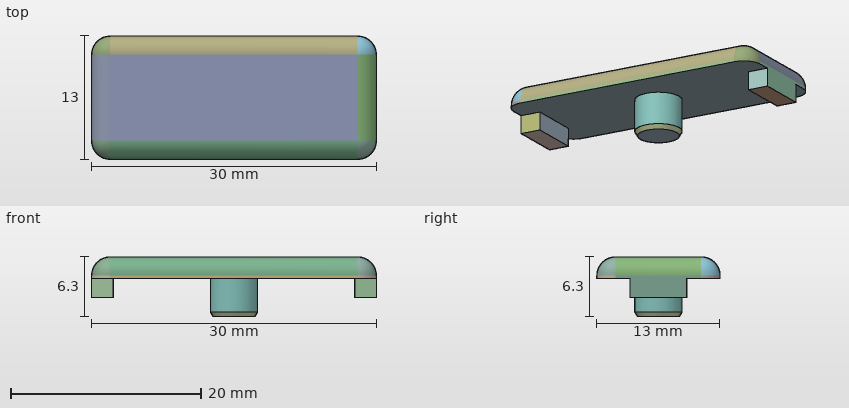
import cadquery as cq

plate_length = 30.0
plate_width = 13.0
plate_thickness = 2.3
edge_radius = 2.0

foot_length = 2.3
foot_width = 6.0
foot_height = 2.0

pin_diameter = 5.0
pin_height = 4.0
pin_chamfer_height = 0.5
pin_chamfer_inset = 0.3


def make_plate():
    """Rectangular plate with rounded corners and a rounded top edge."""
    block = cq.Workplane("XY").box(
        plate_length, plate_width, plate_thickness, centered=(True, True, False)
    )
    rounded_corners = block.edges("|Z").fillet(edge_radius)
    return rounded_corners.faces(">Z").edges().fillet(edge_radius)


def make_foot(side):
    """Block foot at the +X end (side = 1) or the -X end (side = -1)."""
    centre_x = side * (plate_length - foot_length) / 2
    return (
        cq.Workplane("XY")
        .center(centre_x, 0)
        .rect(foot_length, foot_width)
        .extrude(-foot_height)
    )


def make_pin():
    """Pin pointing down, tapered at its free end."""
    radius = pin_diameter / 2
    tip_radius = radius - pin_chamfer_inset
    return (
        cq.Workplane("XZ")
        .moveTo(0, 0)
        .lineTo(radius, 0)
        .lineTo(radius, pin_chamfer_height - pin_height)
        .lineTo(tip_radius, -pin_height)
        .lineTo(0, -pin_height)
        .close()
        .revolve(360, (0, 0), (0, 1))
    )


result = make_plate().union(make_pin())
for end_side in (-1, 1):
    result = result.union(make_foot(end_side))